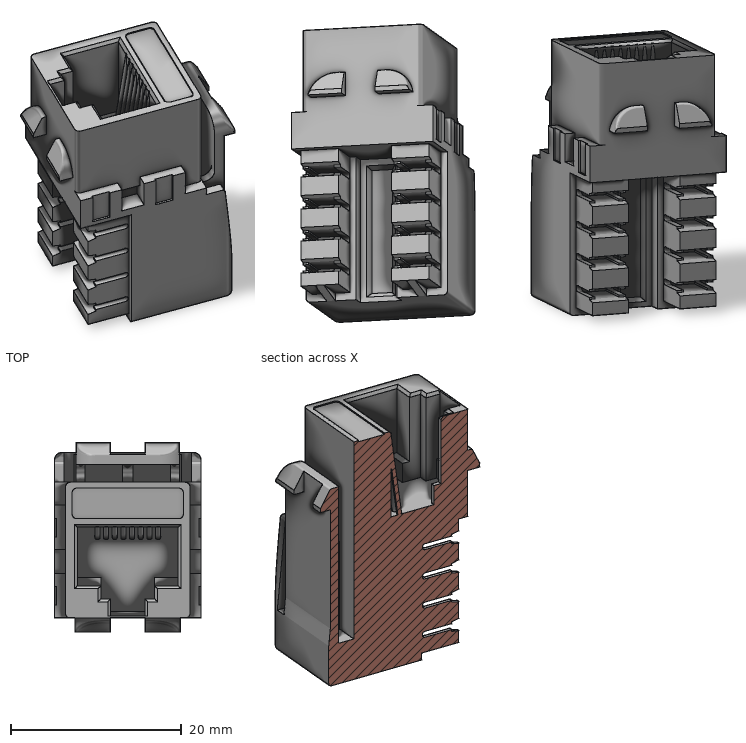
import cadquery as cq
import math


TOTAL_HEIGHT = 31.2
BODY_WIDTH = 17.2
BASE_TOP_Z = 17.1
BASE_FRONT_Y = 6.43
BASE_REAR_Y = 19.4
BASE_REAR_RADIUS = 0.9
BASE_BOTTOM_RADIUS = 0.47
TAPER_START_Z = 5.37
TAPER_TOP_Y = 18.25
TAPER_TOP_RADIUS = 0.45

TOWER_WIDTH = 14.6
TOWER_DEPTH = 15.9
TOWER_RADIUS = 0.55

SHOULDER_TOP_Z = 21.45
SHOULDER_LOW_Z = 18.13
NOTCH_FRONT_Y = 5.2
NOTCH_REAR_Y = 8.02
SHOULDER_REAR_Y = 13.23
WINDOW_TOP_Z = 20.12
WINDOW_WALL_X = 6.45
SIDE_POCKET_DEPTH = 0.25
SIDE_POCKET_LENGTH = 2.15
SIDE_POCKET_FLOOR_Z = 17.65
SIDE_POCKET_FRONT_YS = (1.53, 9.52)

SOCKET_HALF_WIDTH = 5.9
SOCKET_REAR_Y = 10.65
SOCKET_FRONT_Y = 3.78
KEY_HALF_WIDTH = 3.15
KEY_FRONT_Y = 2.25
TAB_HALF_WIDTH = 2.0
TAB_FRONT_Y = 0.25
SOCKET_BEVEL = 0.35
SOCKET_FLOOR_Z = 19.97
SOCKET_STEP_Z = 22.45
CORNER_STEP_DEPTH = 1.0
TAB_STEP_DEPTH = 0.53

WIRE_COUNT = 8
WIRE_ROW_SPAN = 7.1
WIRE_PITCH = WIRE_ROW_SPAN / (WIRE_COUNT - 1)
WIRE_DIAMETER = 0.62
WIRE_TOP_Z = 30.9
WIRE_TOP_Y = 10.98
WIRE_BOTTOM_Y = 9.5

LABEL_WIDTH = 13.05
LABEL_FRONT_Y = 11.65
LABEL_REAR_Y = 15.23
LABEL_RADIUS = 0.55
LABEL_DEPTH = 0.15

HOOK_BOTTOM_Z = 23.12
HOOK_LIP_Z = 23.68
HOOK_TOP_Z = 25.9
HOOK_INNER_X = 2.03
FRONT_HOOK_HALF_WIDTH = 6.2
FRONT_HOOK_ARCH_RADIUS = 3.18
FRONT_HOOK_TOP_REACH = 0.55
FRONT_HOOK_REACH = 1.65
FRONT_HOOK_RIM_RADIUS = 0.45

LATCH_HALF_WIDTH = 6.05
LATCH_ARCH_RADIUS = HOOK_TOP_Z - HOOK_LIP_Z
LATCH_FRONT_Y = 17.97
LATCH_REAR_Y = 19.2
LATCH_TIP_Y = 20.55
LATCH_RIM_RADIUS = 0.45
LATCH_ROOT_RADIUS = 1.2
LATCH_ROOT_FLOOR_Z = 16.8
LATCH_ROOT_TOP_Z = LATCH_ROOT_FLOOR_Z + LATCH_ROOT_RADIUS
LATCH_RIB_HALF_WIDTH = 0.62
LATCH_OPENING_OUTER_X = 5.02
LATCH_GAP_OUTER_X = 6.27
LATCH_CHANNEL_OUTER_X = 7.5
LATCH_GAP_EXTRA_DEPTH = 0.95

COMB_INNER_X = 3.25
COMB_OUTER_X = 7.8
COMB_FRONT_Y = 1.25
COMB_BOTTOM_Z = 0.9
SLOT_COUNT = 4
SLOT_ROW_SPAN = 11.48
SLOT_PITCH = SLOT_ROW_SPAN / (SLOT_COUNT - 1)
FIRST_SLOT_Z = 3.28
SLOT_HEIGHT = 0.72
SLOT_END_Y = 6.3
SLOT_END_RADIUS = 0.3
MOUTH_FLOOR_Y = 2.25
MOUTH_INNER_HEIGHT = 1.2
MOUTH_OUTER_HEIGHT = 1.62
CHAMBER_INNER_X = 4.05
CHAMBER_OUTER_X = 7.1
WEDGE_INNER_X = 5.02
WEDGE_OUTER_X = 6.08

GROOVE_HALF_WIDTH = 2.5
GROOVE_DEPTH = 1.87
PANEL_HALF_WIDTH = 1.75
PANEL_BOTTOM_Z = 0.62
PANEL_TOP_Z = 16.32
PANEL_DEPTH = 0.5

HALF_BODY = BODY_WIDTH / 2


def block(x0, x1, y0, y1, z0, z1):
    """Box between two opposite corners."""
    return cq.Workplane("XY").box(x1 - x0, y1 - y0, z1 - z0, centered=False).translate((x0, y0, z0))


def both_sides(solid):
    """The solid together with its mirror image across the YZ plane."""
    return solid.union(solid.mirror("YZ"))


def side_profile(points, x0, x1):
    """Extrude a (y, z) outline from x0 to x1."""
    return cq.Workplane("YZ").polyline(points).close().extrude(x1 - x0).translate((x0, 0, 0))


def make_base():
    rounded = block(-HALF_BODY, HALF_BODY, BASE_FRONT_Y, BASE_REAR_Y, 0, BASE_TOP_Z)
    rounded = rounded.edges("|Z and >Y").fillet(BASE_REAR_RADIUS)
    rounded = rounded.faces("<Z").edges("not <Y").fillet(BASE_BOTTOM_RADIUS)
    tapered = side_profile(
        [
            (BASE_FRONT_Y, 0),
            (BASE_REAR_Y, 0),
            (BASE_REAR_Y, TAPER_START_Z),
            (TAPER_TOP_Y, BASE_TOP_Z),
            (BASE_FRONT_Y, BASE_TOP_Z),
        ],
        -HALF_BODY,
        HALF_BODY,
    )
    tapered = tapered.faces(">Z").edges(">Y").fillet(TAPER_TOP_RADIUS)
    return rounded.intersect(tapered)


def make_tower():
    half = TOWER_WIDTH / 2
    tower = block(-half, half, 0, TOWER_DEPTH, BASE_TOP_Z, TOTAL_HEIGHT)
    return tower.edges("|Z").fillet(TOWER_RADIUS)


def make_shoulder():
    shoulder = block(-HALF_BODY, HALF_BODY, 0, TOWER_DEPTH, BASE_TOP_Z, SHOULDER_LOW_Z)
    for front_y, rear_y in ((0, NOTCH_FRONT_Y), (NOTCH_REAR_Y, SHOULDER_REAR_Y)):
        shoulder = shoulder.union(
            block(-HALF_BODY, HALF_BODY, front_y, rear_y, SHOULDER_LOW_Z, SHOULDER_TOP_Z)
        )
    for front_y in SIDE_POCKET_FRONT_YS:
        pocket = block(
            HALF_BODY - SIDE_POCKET_DEPTH,
            HALF_BODY,
            front_y,
            front_y + SIDE_POCKET_LENGTH,
            SIDE_POCKET_FLOOR_Z,
            SHOULDER_TOP_Z,
        )
        shoulder = shoulder.cut(both_sides(pocket))
    return shoulder


def make_side_windows():
    window = block(WINDOW_WALL_X, HALF_BODY, NOTCH_FRONT_Y, NOTCH_REAR_Y, SHOULDER_LOW_Z, WINDOW_TOP_Z)
    return both_sides(window)


def make_socket():
    """Stepped plug cavity with a bevelled mouth and ledges near its floor."""
    bays = (
        (SOCKET_HALF_WIDTH, SOCKET_FRONT_Y, SOCKET_FRONT_Y + CORNER_STEP_DEPTH, SOCKET_BEVEL),
        (KEY_HALF_WIDTH, KEY_FRONT_Y, KEY_FRONT_Y, SOCKET_BEVEL),
        (TAB_HALF_WIDTH, TAB_FRONT_Y, TAB_FRONT_Y + TAB_STEP_DEPTH, 0),
    )
    socket = cq.Workplane("XY")
    for half, front_y, floor_front_y, front_bevel in bays:
        socket = socket.union(
            block(-half, half, front_y, SOCKET_REAR_Y, SOCKET_STEP_Z, TOTAL_HEIGHT)
        )
        socket = socket.union(
            block(-half, half, floor_front_y, SOCKET_REAR_Y, SOCKET_FLOOR_Z, SOCKET_STEP_Z)
        )
        mouth_width = 2 * (half + SOCKET_BEVEL)
        mouth_front_y = front_y - front_bevel
        mouth_rear_y = SOCKET_REAR_Y + SOCKET_BEVEL
        mouth = (
            cq.Workplane("XY", origin=(0, (mouth_front_y + mouth_rear_y) / 2, TOTAL_HEIGHT))
            .rect(mouth_width, mouth_rear_y - mouth_front_y)
            .workplane(offset=-SOCKET_BEVEL)
            .center(0, (front_y + SOCKET_REAR_Y - mouth_front_y - mouth_rear_y) / 2)
            .rect(2 * half, SOCKET_REAR_Y - front_y)
            .loft(ruled=True)
        )
        socket = socket.union(mouth)
    return socket


def make_wires():
    """Row of sloping contact wires from the rear socket wall down to its floor."""
    drop = WIRE_TOP_Z - SOCKET_FLOOR_Z
    advance = WIRE_TOP_Y - WIRE_BOTTOM_Y
    direction = cq.Vector(0, -advance, -drop)
    wires = cq.Workplane("XY")
    for index in range(WIRE_COUNT):
        x = (index - (WIRE_COUNT - 1) / 2) * WIRE_PITCH
        wire = cq.Solid.makeCylinder(
            WIRE_DIAMETER / 2, math.hypot(drop, advance), cq.Vector(x, WIRE_TOP_Y, WIRE_TOP_Z), direction
        )
        wires = wires.union(cq.Workplane(wire))
    return wires


def make_label_recess():
    half = LABEL_WIDTH / 2
    recess = block(-half, half, LABEL_FRONT_Y, LABEL_REAR_Y, TOTAL_HEIGHT - LABEL_DEPTH, TOTAL_HEIGHT)
    return recess.edges("|Z").fillet(LABEL_RADIUS)


def arched_plate(half_width, corner_radius, y0, y1):
    """Upright plate with rounded upper corners, from y0 to y1."""
    bottom_z = HOOK_TOP_Z - 2 * corner_radius
    plate = block(-half_width, half_width, y0, y1, bottom_z, HOOK_TOP_Z)
    return plate.edges("|Y and >Z").fillet(corner_radius)


def round_rim(hook, y0, y1, radius):
    """Round the arched edge where the sloping face, between y0 and y1, meets the sides and top."""
    margin = 0.03
    rim = cq.selectors.BoxSelector(
        (-HALF_BODY, y0 - margin, HOOK_LIP_Z + margin),
        (HALF_BODY, y1 + margin, HOOK_TOP_Z + margin),
    )
    return hook.edges(rim).edges("not #X").fillet(radius)


def make_front_hooks():
    wedge = side_profile(
        [
            (0, HOOK_BOTTOM_Z),
            (-FRONT_HOOK_REACH, HOOK_BOTTOM_Z),
            (-FRONT_HOOK_REACH, HOOK_LIP_Z),
            (-FRONT_HOOK_TOP_REACH, HOOK_TOP_Z),
            (0, HOOK_TOP_Z),
        ],
        HOOK_INNER_X,
        FRONT_HOOK_HALF_WIDTH,
    )
    arch = arched_plate(FRONT_HOOK_HALF_WIDTH, FRONT_HOOK_ARCH_RADIUS, -FRONT_HOOK_REACH, 0)
    hook = wedge.intersect(arch)
    hook = round_rim(hook, -FRONT_HOOK_REACH, -FRONT_HOOK_TOP_REACH, FRONT_HOOK_RIM_RADIUS)
    return both_sides(hook)


def make_latch():
    spring = block(
        -LATCH_HALF_WIDTH, LATCH_HALF_WIDTH, LATCH_FRONT_Y, LATCH_REAR_Y, TAPER_START_Z, HOOK_BOTTOM_Z
    )
    wedge = side_profile(
        [
            (LATCH_FRONT_Y, HOOK_BOTTOM_Z),
            (LATCH_TIP_Y, HOOK_BOTTOM_Z),
            (LATCH_TIP_Y, HOOK_LIP_Z),
            (LATCH_REAR_Y, HOOK_TOP_Z),
            (LATCH_FRONT_Y, HOOK_TOP_Z),
        ],
        -LATCH_HALF_WIDTH,
        LATCH_HALF_WIDTH,
    )
    head = wedge.intersect(arched_plate(LATCH_HALF_WIDTH, LATCH_ARCH_RADIUS, LATCH_FRONT_Y, LATCH_TIP_Y))
    head = round_rim(head, LATCH_REAR_Y, LATCH_TIP_Y, LATCH_RIM_RADIUS)
    gap = block(-HOOK_INNER_X, HOOK_INNER_X, LATCH_REAR_Y, LATCH_TIP_Y, HOOK_BOTTOM_Z, HOOK_TOP_Z)
    root = block(
        -LATCH_HALF_WIDTH,
        LATCH_HALF_WIDTH,
        LATCH_FRONT_Y - LATCH_ROOT_RADIUS,
        LATCH_FRONT_Y,
        LATCH_ROOT_FLOOR_Z,
        LATCH_ROOT_TOP_Z,
    )
    return spring.union(head.cut(gap)).union(root)


def make_latch_openings():
    """Openings between the root ribs, and channels and gaps beside the latch."""
    opening = block(
        LATCH_RIB_HALF_WIDTH,
        LATCH_OPENING_OUTER_X,
        TOWER_DEPTH,
        LATCH_FRONT_Y,
        TAPER_START_Z,
        LATCH_ROOT_TOP_Z,
    )
    channel = block(
        LATCH_HALF_WIDTH, LATCH_CHANNEL_OUTER_X, TOWER_DEPTH, BASE_REAR_Y, TAPER_START_Z, BASE_TOP_Z
    )
    gap = block(
        LATCH_HALF_WIDTH,
        LATCH_GAP_OUTER_X,
        TOWER_DEPTH,
        LATCH_REAR_Y,
        TAPER_START_Z - LATCH_GAP_EXTRA_DEPTH,
        TAPER_START_Z,
    )
    root_hollow = block(
        0,
        LATCH_HALF_WIDTH,
        TOWER_DEPTH,
        LATCH_FRONT_Y,
        LATCH_ROOT_FLOOR_Z,
        LATCH_ROOT_TOP_Z + LATCH_ROOT_RADIUS,
    )
    root_hollow = root_hollow.edges("|X and >Y and <Z").fillet(LATCH_ROOT_RADIUS)
    return both_sides(opening.union(channel).union(gap).union(root_hollow))


def make_comb():
    """Comb on the +X side: slots across it, each widening into a chamber between the outer walls."""
    comb = block(COMB_INNER_X, COMB_OUTER_X, COMB_FRONT_Y, BASE_FRONT_Y, COMB_BOTTOM_Z, BASE_TOP_Z)
    for index in range(SLOT_COUNT):
        z = FIRST_SLOT_Z + index * SLOT_PITCH
        mouth = side_profile(
            [
                (COMB_FRONT_Y, z - MOUTH_OUTER_HEIGHT / 2),
                (MOUTH_FLOOR_Y, z - MOUTH_INNER_HEIGHT / 2),
                (MOUTH_FLOOR_Y, z + MOUTH_INNER_HEIGHT / 2),
                (COMB_FRONT_Y, z + MOUTH_OUTER_HEIGHT / 2),
            ],
            COMB_INNER_X,
            COMB_OUTER_X,
        )
        slot = block(
            COMB_INNER_X,
            COMB_OUTER_X,
            COMB_FRONT_Y,
            SLOT_END_Y,
            z - SLOT_HEIGHT / 2,
            z + SLOT_HEIGHT / 2,
        )
        slot = slot.edges("|X and >Y").fillet(SLOT_END_RADIUS)
        chamber = block(
            CHAMBER_INNER_X,
            CHAMBER_OUTER_X,
            MOUTH_FLOOR_Y,
            BASE_FRONT_Y,
            z - MOUTH_INNER_HEIGHT / 2,
            z + MOUTH_INNER_HEIGHT / 2,
        )
        comb = comb.cut(mouth).cut(slot).cut(chamber)
    wedge = side_profile(
        [(BASE_FRONT_Y, 0), (BASE_FRONT_Y, COMB_BOTTOM_Z), (COMB_FRONT_Y, COMB_BOTTOM_Z)],
        WEDGE_INNER_X,
        WEDGE_OUTER_X,
    )
    return comb.union(wedge)


def make_groove():
    """Groove between the combs, with a bevelled panel sunk into its floor."""
    floor_y = BASE_FRONT_Y + GROOVE_DEPTH
    groove = block(-GROOVE_HALF_WIDTH, GROOVE_HALF_WIDTH, BASE_FRONT_Y, floor_y, 0, BASE_TOP_Z)
    height = PANEL_TOP_Z - PANEL_BOTTOM_Z
    panel = (
        cq.Workplane("XZ", origin=(0, floor_y, PANEL_BOTTOM_Z + height / 2))
        .rect(2 * PANEL_HALF_WIDTH, height)
        .workplane(offset=-PANEL_DEPTH)
        .rect(2 * (PANEL_HALF_WIDTH - PANEL_DEPTH), height - 2 * PANEL_DEPTH)
        .loft(ruled=True)
    )
    return groove.union(panel)


result = make_base().union(make_latch()).cut(make_latch_openings())
result = result.union(make_tower()).union(make_shoulder())
result = result.cut(make_side_windows()).cut(make_label_recess())
result = result.cut(make_socket()).union(make_wires())
result = result.union(make_front_hooks())
result = result.cut(make_groove()).union(both_sides(make_comb()))